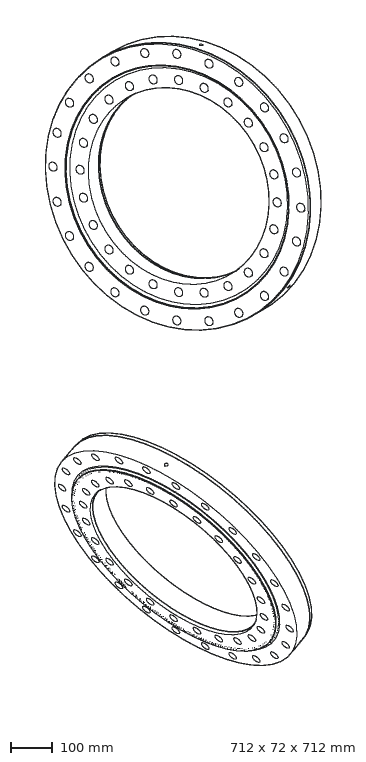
import cadquery as cq
import math

bearing_height = 72.0

outer_radius = 356.0
outer_height = 63.0
spigot_radius = 354.5
spigot_height = 9.0
outer_bore_radius = 302.0

inner_height = 63.0
inner_front = bearing_height - inner_height
bore_radius = 243.5
register_radius = 245.0
register_depth = 9.0
inner_body_radius = 293.0
flange_radius = 300.0
flange_thickness = 3.0

bolt_count = 24
bolt_diameter = 22.0
outer_bolt_circle_radius = 334.0
inner_bolt_circle_radius = 265.5

grease_count = 3
grease_diameter = 8.5
grease_first_angle = 7.5
grease_y = 37.0

seal_thickness = 14.0
front_lip_inset = 3.0
front_lip_tip_radius = 300.0
back_lip_base_radius = 305.5
back_lip_tip_radius = 297.5


def revolved(profile):
    """Revolve a closed (radius, y) profile about the Y axis."""
    return cq.Workplane("ZY").polyline(profile).close().revolve(360, (0, 0, 0), (0, 1, 0))


def bolt_holes(circle_radius):
    """Full-height cutters for one circle of bolt holes."""
    return (
        cq.Workplane("XZ")
        .polarArray(circle_radius, 0, 360, bolt_count)
        .circle(bolt_diameter / 2)
        .extrude(-bearing_height)
    )


def grease_hole(angle):
    """Radial cutter through the outer ring wall, at an angle from +Z toward +X."""
    direction = cq.Vector(math.sin(math.radians(angle)), 0, math.cos(math.radians(angle)))
    start = direction * inner_body_radius + cq.Vector(0, grease_y, 0)
    length = outer_radius - inner_body_radius
    return cq.Solid.makeCylinder(grease_diameter / 2, length, start, direction)


def make_outer_ring():
    ring = revolved([
        (outer_bore_radius, 0),
        (spigot_radius, 0),
        (spigot_radius, spigot_height),
        (outer_radius, spigot_height),
        (outer_radius, outer_height),
        (outer_bore_radius, outer_height),
    ])
    ring = ring.cut(bolt_holes(outer_bolt_circle_radius))
    for index in range(grease_count):
        ring = ring.cut(cq.Workplane(grease_hole(grease_first_angle + index * 360 / grease_count)))
    return ring


def make_inner_ring():
    ring = revolved([
        (bore_radius, inner_front),
        (inner_body_radius, inner_front),
        (inner_body_radius, bearing_height - flange_thickness),
        (flange_radius, bearing_height - flange_thickness),
        (flange_radius, bearing_height),
        (register_radius, bearing_height),
        (register_radius, bearing_height - register_depth),
        (bore_radius, bearing_height - register_depth),
    ])
    return ring.cut(bolt_holes(inner_bolt_circle_radius))


def make_front_seal():
    return revolved([
        (inner_body_radius, inner_front),
        (front_lip_tip_radius, front_lip_inset),
        (outer_bore_radius, front_lip_inset),
        (outer_bore_radius, front_lip_inset + seal_thickness),
        (inner_body_radius, front_lip_inset + seal_thickness),
    ])


def make_back_seal():
    flange_underside = bearing_height - flange_thickness
    return revolved([
        (inner_body_radius, flange_underside - seal_thickness),
        (outer_bore_radius, flange_underside - seal_thickness),
        (outer_bore_radius, outer_height),
        (back_lip_base_radius, outer_height),
        (back_lip_tip_radius, flange_underside),
        (inner_body_radius, flange_underside),
    ])


outer_ring = make_outer_ring()
inner_ring = make_inner_ring()
front_seal = make_front_seal()
back_seal = make_back_seal()

result = cq.Compound.makeCompound([
    outer_ring.val(),
    inner_ring.val(),
    front_seal.val(),
    back_seal.val(),
])